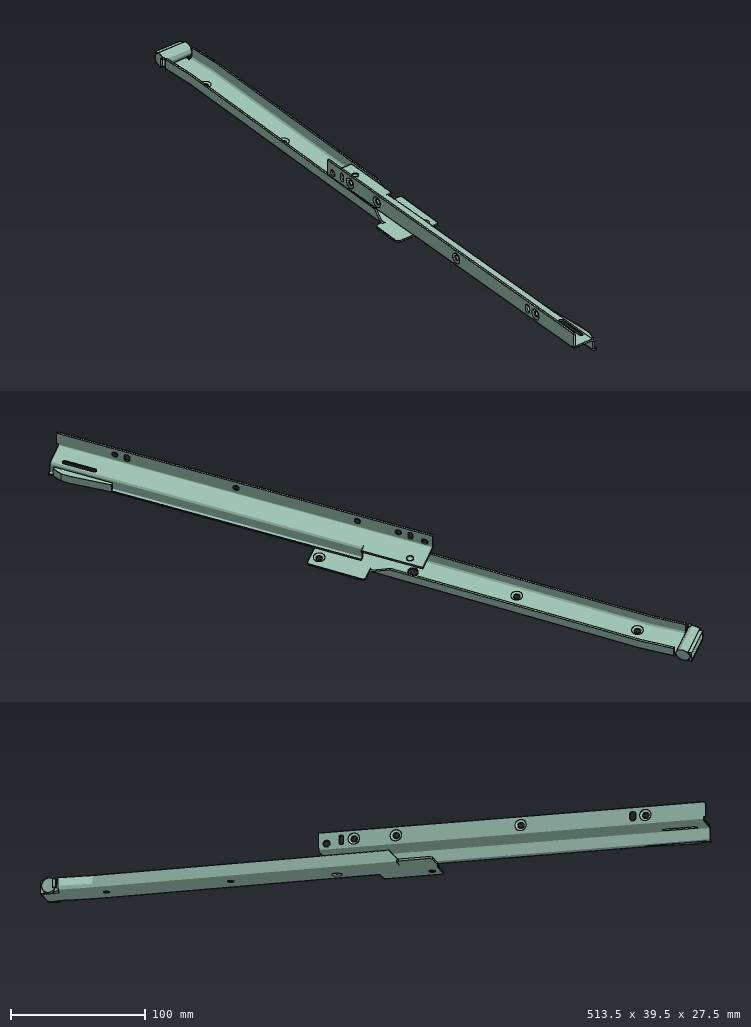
import cadquery as cq
import math

TOTAL_LENGTH = 513.5
TOTAL_WIDTH = 39.5
TOTAL_HEIGHT = 27.5
SHEET = 1.5

CHANNEL_FRONT = 4.5
CHANNEL_WIDTH = 26.5
CHANNEL_HEIGHT = 11.0
CHANNEL_BEND = 4.0
CHANNEL_START = 14.0
JOG_END = 40.5
JOG_SHIFT = 1.8
CHANNEL_END = 277.0
FRONT_WALL_END = 269.0
REAR_WALL_END = 238.5
REAR_WALL_FOOT = 255.5

PLATE_END = 302.0
PLATE_CORNER = 2.0
TAB_START = 275.5
TAB_END = 303.5

SCREW_HOLE = 4.5
SCREW_SINK = 8.5
FLOOR_HOLE_XS = (48.5, 144.5)
FLOOR_HOLE_Y = 14.5
ACCESS_HOLE_CENTER = (225.0, 19.5)
ACCESS_HOLE = 7.5
PLATE_HOLE = (295.0, 31.0)

CAP_RADIUS = 5.5
CAP_LENGTH = 12.5
CAP_SIDE_GAP = 0.5
CAP_BLOCK_HEIGHT = 10.0
CAP_BLOCK_INSET = 1.0
CAP_LUG_FRONT = 1.5
CAP_LUG_THICKNESS = 2.0
CAP_LUG_BOTTOM = 3.0

UPPER_START = 215.5
UPPER_FRONT = 1.3
UPPER_ANGLE = 0.7
UPPER_WIDTH = 22.5
UPPER_LENGTH = 296.0
WALL_BOTTOM = 13.5
WALL_BEND = 2.5
WALL_LENGTH = (TOTAL_LENGTH - UPPER_START) / math.cos(math.radians(UPPER_ANGLE))
WALL_TONGUE_LOW = 16.0
WALL_TONGUE_CHAMFER = 1.0
FLANGE_START = 49.0
FLANGE_OUTSIDE = 20.5
FLANGE_BEND = 3.0
LIP_BOTTOM = 3.5
LIP_BEND = 2.0
WALL_HOLE_Z = 21.0
WALL_HOLE_XS = (27.0, 59.5, 155.5, 251.5)
PILOT_HOLE_X = 6.0
PILOT_HOLE_Z = 19.0
PILOT_HOLE = 5.0
WALL_SLOTS = ((17.5, 3.5), (242.0, 4.5))
SLOT_HEIGHT = 7.0
WEB_HOLE_X = 12.5
WEB_HOLE_Y = 16.5
WEB_HOLE = 5.0
WEB_SINK = 12.0

BUMP_START = 246.5
BUMP_PEAK_START = 278.0
BUMP_PEAK_END = 285.5
BUMP_END = 292.5
BUMP_DEPTH = 2.5
RELIEF_START = 261.0
RELIEF_LENGTH = 26.5
RELIEF_WIDTH = 3.0
RELIEF_Y = 16.0


def box(x_range, y_range, z_range):
    """Box between the given limits along each axis."""
    lows, highs = zip(x_range, y_range, z_range)
    size = [high - low for low, high in zip(lows, highs)]
    return cq.Workplane("XY").box(*size, centered=False).translate(lows)


def countersunk_cutter(hole, sink):
    """Cutter along -Z for a sheet whose top is at Z = 0, countersunk through half of it."""
    sink_depth = SHEET / 2
    cone = cq.Solid.makeCone(sink / 2, hole / 2, sink_depth, dir=cq.Vector(0, 0, -1))
    drill = cq.Workplane("XY").circle(hole / 2).extrude(-SHEET)
    return drill.union(cq.Workplane(cone))


def channel_section(x, y_shift):
    """Closed U outline at the given X, shifted along Y."""
    front = CHANNEL_FRONT + y_shift
    rear = front + CHANNEL_WIDTH
    outer = CHANNEL_BEND
    inner = CHANNEL_BEND - SHEET
    return (
        cq.Workplane("YZ", origin=(x, 0, 0))
        .moveTo(front, CHANNEL_HEIGHT)
        .lineTo(front, outer)
        .radiusArc((front + outer, 0), -outer)
        .lineTo(rear - outer, 0)
        .radiusArc((rear, outer), -outer)
        .lineTo(rear, CHANNEL_HEIGHT)
        .lineTo(rear - SHEET, CHANNEL_HEIGHT)
        .lineTo(rear - SHEET, outer)
        .radiusArc((rear - outer, SHEET), inner)
        .lineTo(front + outer, SHEET)
        .radiusArc((front + SHEET, outer), inner)
        .lineTo(front + SHEET, CHANNEL_HEIGHT)
        .close()
    )


def sloped_wall_cut(top_x, foot_x, y_range):
    """Removes a side wall to the right of a line that slopes down to the plate."""
    return (
        cq.Workplane("XZ", origin=(0, y_range[1], 0))
        .polyline([
            (top_x, CHANNEL_HEIGHT),
            (foot_x, SHEET),
            (TAB_END, SHEET),
            (TAB_END, CHANNEL_HEIGHT),
        ])
        .close()
        .extrude(y_range[1] - y_range[0])
    )


def make_mounting_plate():
    rear = box((REAR_WALL_FOOT, PLATE_END), (CHANNEL_FRONT + CHANNEL_BEND, TOTAL_WIDTH), (0, SHEET))
    rear = rear.edges("|Z and >Y").fillet(PLATE_CORNER)
    front = box((TAB_START, TAB_END), (0, TOTAL_WIDTH / 2), (0, SHEET))
    front = front.edges("|Z and <Y").chamfer(PLATE_CORNER)
    return rear.union(front)


def make_lower_rail():
    straight = channel_section(JOG_END, 0).extrude(CHANNEL_END - JOG_END)
    jog_wire = channel_section(CHANNEL_START, -JOG_SHIFT).wires().val()
    jog_path = cq.Vector(JOG_END - CHANNEL_START, JOG_SHIFT, 0)
    jog = cq.Workplane(cq.Solid.extrudeLinear(jog_wire, [], jog_path))

    middle = CHANNEL_FRONT + CHANNEL_WIDTH / 2
    front_wall = (0, middle)
    rear_wall = (middle, TOTAL_WIDTH)
    straight = straight.cut(sloped_wall_cut(FRONT_WALL_END, CHANNEL_END, front_wall))
    straight = straight.cut(sloped_wall_cut(REAR_WALL_END, REAR_WALL_FOOT, rear_wall))

    floor_front = CHANNEL_FRONT - JOG_SHIFT + CHANNEL_BEND
    floor_rear = floor_front + CHANNEL_WIDTH - 2 * CHANNEL_BEND
    tongue = box((0, CHANNEL_START), (floor_front, floor_rear), (0, SHEET))
    rail = straight.union(jog).union(tongue).union(make_mounting_plate())

    screw_points = [(x, FLOOR_HOLE_Y) for x in FLOOR_HOLE_XS] + [PLATE_HOLE]
    for x, y in screw_points:
        rail = rail.cut(countersunk_cutter(SCREW_HOLE, SCREW_SINK).translate((x, y, SHEET)))
    access_hole = cq.Workplane("XY").center(*ACCESS_HOLE_CENTER).circle(ACCESS_HOLE / 2).extrude(SHEET)
    return rail.cut(access_hole)


def make_end_cap():
    front = CHANNEL_FRONT - JOG_SHIFT + CAP_SIDE_GAP
    length = CHANNEL_WIDTH - 2 * CAP_SIDE_GAP
    round_x = CAP_LENGTH - CAP_RADIUS
    rear = front + length
    block_sides = (front + CAP_BLOCK_INSET, rear - CAP_BLOCK_INSET)
    block = box((0, round_x), block_sides, (0, CAP_BLOCK_HEIGHT))
    barrel = (
        cq.Workplane("XZ", origin=(0, rear, 0))
        .center(round_x, CAP_RADIUS)
        .circle(CAP_RADIUS)
        .extrude(length)
    )
    lug = box(
        (CAP_LENGTH - CAP_LUG_THICKNESS, CAP_LENGTH),
        (CAP_LUG_FRONT, front + CAP_BLOCK_INSET),
        (CAP_LUG_BOTTOM, CAP_BLOCK_HEIGHT),
    )
    return block.union(barrel).union(lug)


def upper_web_outline(flanged):
    """Section of the web and wall bend; a flange with a lip hangs from its rear edge if asked for."""
    web_top = WALL_BOTTOM + SHEET
    outline = (
        cq.Workplane("YZ")
        .moveTo(0, TOTAL_HEIGHT)
        .lineTo(0, WALL_BOTTOM + WALL_BEND)
        .radiusArc((WALL_BEND, WALL_BOTTOM), -WALL_BEND)
    )
    if flanged:
        flange_inside = FLANGE_OUTSIDE - SHEET
        bend_start = FLANGE_OUTSIDE - FLANGE_BEND
        bend_low = web_top - FLANGE_BEND
        lip_bend_end = flange_inside + LIP_BEND
        lip_bend_top = LIP_BOTTOM + LIP_BEND
        outline = (
            outline.lineTo(bend_start, WALL_BOTTOM)
            .radiusArc((flange_inside, bend_low), FLANGE_BEND - SHEET)
            .lineTo(flange_inside, lip_bend_top)
            .radiusArc((lip_bend_end, LIP_BOTTOM), -LIP_BEND)
            .lineTo(UPPER_WIDTH, LIP_BOTTOM)
            .lineTo(UPPER_WIDTH, LIP_BOTTOM + SHEET)
            .lineTo(lip_bend_end, LIP_BOTTOM + SHEET)
            .radiusArc((FLANGE_OUTSIDE, lip_bend_top), LIP_BEND - SHEET)
            .lineTo(FLANGE_OUTSIDE, bend_low)
            .radiusArc((bend_start, web_top), -FLANGE_BEND)
        )
    else:
        outline = outline.lineTo(UPPER_WIDTH, WALL_BOTTOM).lineTo(UPPER_WIDTH, web_top)
    return (
        outline.lineTo(WALL_BEND, web_top)
        .radiusArc((SHEET, WALL_BOTTOM + WALL_BEND), WALL_BEND - SHEET)
        .lineTo(SHEET, TOTAL_HEIGHT)
        .close()
    )


def make_wall_tongue():
    """End of the wall that reaches past the web and the flange."""
    tongue = box((UPPER_LENGTH, WALL_LENGTH), (0, SHEET), (WALL_TONGUE_LOW, TOTAL_HEIGHT))
    return tongue.edges("|Y and >X and >Z").chamfer(WALL_TONGUE_CHAMFER)


def make_flange_bump():
    return (
        cq.Workplane("XY", origin=(0, 0, LIP_BOTTOM))
        .polyline([
            (BUMP_START, UPPER_WIDTH),
            (BUMP_PEAK_START, UPPER_WIDTH + BUMP_DEPTH),
            (BUMP_PEAK_END, UPPER_WIDTH + BUMP_DEPTH),
            (BUMP_END, UPPER_WIDTH),
            (BUMP_END, FLANGE_OUTSIDE),
            (BUMP_START, FLANGE_OUTSIDE),
        ])
        .close()
        .extrude(WALL_BOTTOM + SHEET - FLANGE_BEND - LIP_BOTTOM)
    )


def cut_wall_holes(rail):
    for x in WALL_HOLE_XS:
        cutter = countersunk_cutter(SCREW_HOLE, SCREW_SINK)
        cutter = cutter.rotate((0, 0, 0), (1, 0, 0), 90)
        rail = rail.cut(cutter.translate((x, 0, WALL_HOLE_Z)))

    wall_plane = cq.Workplane("XZ")
    rail = rail.cut(wall_plane.center(PILOT_HOLE_X, PILOT_HOLE_Z).circle(PILOT_HOLE / 2).extrude(-SHEET))
    for x, width in WALL_SLOTS:
        rail = rail.cut(wall_plane.center(x, WALL_HOLE_Z).slot2D(SLOT_HEIGHT, width, 90).extrude(-SHEET))
    return rail


def cut_web_openings(rail):
    web_top = WALL_BOTTOM + SHEET
    sink = countersunk_cutter(WEB_HOLE, WEB_SINK).translate((WEB_HOLE_X, WEB_HOLE_Y, web_top))
    relief = (
        cq.Workplane("XY", origin=(RELIEF_START + RELIEF_LENGTH / 2, RELIEF_Y, WALL_BOTTOM))
        .slot2D(RELIEF_LENGTH, RELIEF_WIDTH)
        .extrude(SHEET)
    )
    return rail.cut(sink).cut(relief)


def make_upper_rail():
    tip = upper_web_outline(flanged=False).extrude(FLANGE_START)
    main = upper_web_outline(flanged=True).extrude(UPPER_LENGTH - FLANGE_START)
    rail = tip.union(main.translate((FLANGE_START, 0, 0)))
    rail = rail.union(make_wall_tongue()).union(make_flange_bump())
    rail = cut_web_openings(cut_wall_holes(rail))
    rail = rail.rotate((0, 0, 0), (0, 0, 1), UPPER_ANGLE)
    return rail.translate((UPPER_START, UPPER_FRONT, 0))


lower_rail = make_lower_rail()
end_cap = make_end_cap().cut(lower_rail)
upper_rail = make_upper_rail()

result = cq.Compound.makeCompound([lower_rail.val(), end_cap.val(), upper_rail.val()])